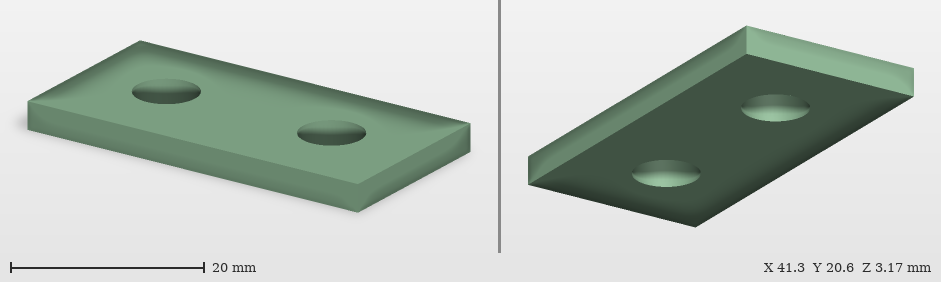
import cadquery as cq

plate_width = 20.6375
plate_thickness = 3.175
hole_diameter = 7.144
hole_count = 2

hole_pitch = plate_width
plate_length = hole_count * hole_pitch


def make_plate():
    """Flat rectangular plate, centred in X and Y, with its base at Z = 0."""
    return cq.Workplane("XY").box(
        plate_length, plate_width, plate_thickness, centered=(True, True, False)
    )


def drill_holes(plate):
    """Cut the row of through holes along the plate's centreline."""
    return (
        plate.faces(">Z")
        .workplane()
        .rarray(hole_pitch, plate_width, hole_count, 1)
        .hole(hole_diameter)
    )


result = drill_holes(make_plate())